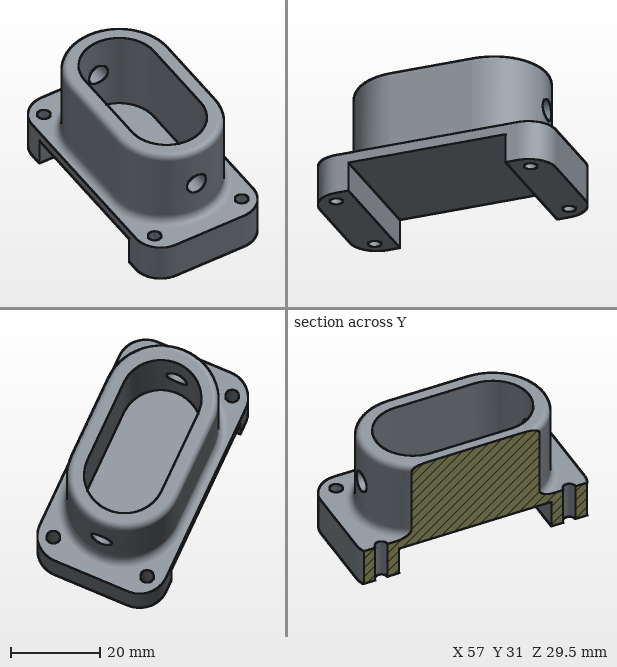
import cadquery as cq

base_length = 57.0
base_width = 31.0
base_height = 9.5
corner_radius = 6.5

channel_length = 38.0
plate_thickness = 2.5
channel_height = base_height - plate_thickness

total_height = 29.5
collar_height = total_height - base_height
straight_length = 20.0
collar_width = 26.0
wall_thickness = 3.9
rim_radius = 1.5
root_radius = 2.0

cavity_width = collar_width - 2 * wall_thickness
cavity_depth = collar_height

screw_diameter = 3.0
screw_spacing_x = 47.0
screw_spacing_y = 23.0
cross_hole_diameter = 5.0
cross_hole_z = base_height + collar_height / 2


def oval(width, bottom_z, height):
    """Upright prism with an oval section, its straight sides along X."""
    return (
        cq.Workplane("XY")
        .workplane(offset=bottom_z)
        .slot2D(straight_length + width, width)
        .extrude(height)
    )


def make_base():
    """Rounded rectangular block with a channel cut through its underside."""
    block = (
        cq.Workplane("XY")
        .box(base_length, base_width, base_height, centered=(True, True, False))
        .edges("|Z")
        .fillet(corner_radius)
    )
    channel = cq.Workplane("XY").box(
        channel_length, base_width, channel_height, centered=(True, True, False)
    )
    return block.cut(channel)


def add_collar(base):
    """Join the oval collar to the base with a fillet around its root."""
    collar = oval(collar_width, base_height, collar_height).faces(">Z").edges().fillet(rim_radius)
    joined = base.union(collar)
    half_length = (straight_length + collar_width + root_radius) / 2
    half_width = (collar_width + root_radius) / 2
    root_zone = cq.selectors.BoxSelector(
        (-half_length, -half_width, base_height - plate_thickness / 2),
        (half_length, half_width, base_height + root_radius / 2),
        boundingbox=True,
    )
    return joined.edges(root_zone).fillet(root_radius)


def screw_holes():
    """Four vertical holes through the corners of the base."""
    return (
        cq.Workplane("XY")
        .rect(screw_spacing_x, screw_spacing_y, forConstruction=True)
        .vertices()
        .circle(screw_diameter / 2)
        .extrude(base_height)
    )


def cross_hole():
    """Horizontal hole along X through both round ends of the collar."""
    return (
        cq.Workplane("YZ")
        .center(0, cross_hole_z)
        .circle(cross_hole_diameter / 2)
        .extrude(base_length / 2, both=True)
    )


body = add_collar(make_base())
cavity = oval(cavity_width, total_height - cavity_depth, cavity_depth)
result = body.cut(cavity).cut(screw_holes()).cut(cross_hole())